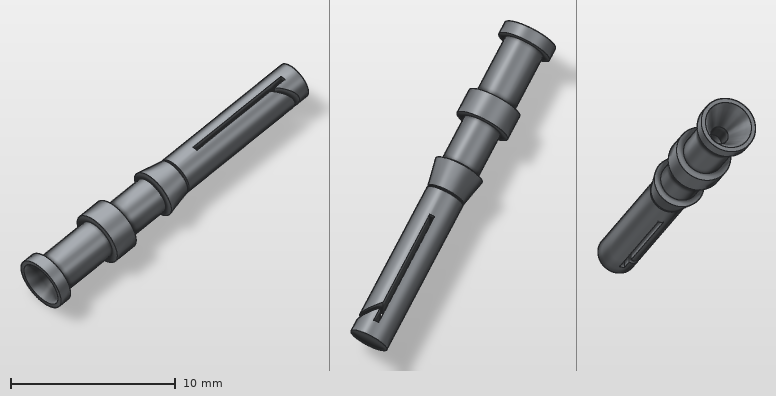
import cadquery as cq
import math

length = 21.6
front_y = -length / 2
rear_y = length / 2

flange_dia = 3.48
barrel_dia = 2.6
sleeve_dia = 2.46
barb_dia = 3.2
groove_dia = 1.81

flange_length = 0.82
barrel_length = 3.97
collar_length = 1.62
neck_length = 3.0
groove_width = 0.13
barb_length = 1.75

funnel_dia = 2.94
hole_dia = 1.1
funnel_depth = 1.73
hole_depth = 1.3
drill_tip_angle = 118.0

slot_width = 0.32
slot_length = 7.5
slot_end_margin = 0.97
slit_width = 0.28
slit_angle = 45.0
slit_exit_margin = 0.97


def section(diameter, start, section_length, end_diameter=None):
    """Solid cylinder or cone on the Y axis, growing towards +Y from start."""
    start_radius = diameter / 2
    end_radius = start_radius if end_diameter is None else end_diameter / 2
    profile = [
        (0, start),
        (start_radius, start),
        (end_radius, start + section_length),
    ]
    if end_radius > 0:
        profile.append((0, start + section_length))
    return cq.Workplane("XY").polyline(profile).close().revolve(360, (0, 0, 0), (0, 1, 0))


def turned_body():
    """Stack of coaxial steps from the flange to the sleeve."""
    steps = [
        (flange_dia, flange_length, flange_dia),
        (barrel_dia, barrel_length, barrel_dia),
        (flange_dia, collar_length, flange_dia),
        (sleeve_dia, neck_length, sleeve_dia),
        (groove_dia, groove_width, groove_dia),
        (barb_dia, barb_length, sleeve_dia),
        (groove_dia, groove_width, groove_dia),
    ]
    body = cq.Workplane("XY")
    y = front_y
    for diameter, step_length, end_diameter in steps:
        body = body.union(section(diameter, y, step_length, end_diameter))
        y += step_length
    return body.union(section(sleeve_dia, y, rear_y - y))


def wire_entry():
    """Funnel, hole and conical drill tip to remove from the flange end."""
    hole_start = front_y + funnel_depth
    tip_start = hole_start + hole_depth
    tip_length = hole_dia / 2 / math.tan(math.radians(drill_tip_angle / 2))
    funnel = section(funnel_dia, front_y, funnel_depth, hole_dia)
    hole = section(hole_dia, hole_start, hole_depth)
    tip = section(hole_dia, tip_start, tip_length, 0)
    return funnel.union(hole).union(tip)


def sleeve_cuts():
    """Long slot through the sleeve and the slanted slit joining it to the +X side."""
    slot_center_y = rear_y - slot_end_margin - slot_length / 2
    slot = cq.Workplane("XY").box(slot_width, slot_length, sleeve_dia).translate((0, slot_center_y, 0))

    slit_length = sleeve_dia
    sleeve_radius = sleeve_dia / 2
    slit_start_y = rear_y - slit_exit_margin - sleeve_radius * math.tan(math.radians(slit_angle))
    slit = (
        cq.Workplane("XY")
        .box(slit_length, slit_width, sleeve_dia, centered=(False, True, True))
        .rotate((0, 0, 0), (0, 0, 1), slit_angle)
        .translate((0, slit_start_y, 0))
    )
    return slot.union(slit)


result = turned_body().cut(wire_entry()).cut(sleeve_cuts())